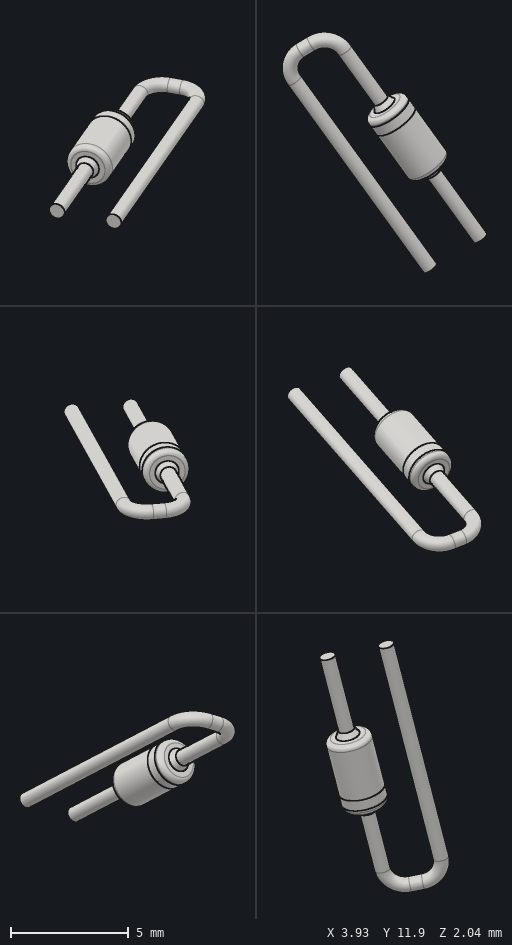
import cadquery as cq


LEAD_DIAMETER = 0.71
LEAD_PITCH = 2.55
BEND_RADIUS = 1.0
TOTAL_LENGTH = 11.85

BODY_DIAMETER = 2.04
BODY_LENGTH = 3.48
BODY_START = 3.9
EDGE_RADIUS = 0.25
CONE_BASE_DIAMETER = 1.03
CONE_LENGTH = 0.28

BAND_WIDTH = 0.5
BAND_OFFSET = 0.33
BAND_THICKNESS = 0.06

LEAD_RADIUS = LEAD_DIAMETER / 2
BODY_RADIUS = BODY_DIAMETER / 2
BODY_END = BODY_START + BODY_LENGTH
FRONT_CONE_TIP = BODY_START - CONE_LENGTH
REAR_CONE_TIP = BODY_END + CONE_LENGTH
BAND_START = BODY_END - BAND_OFFSET - BAND_WIDTH


def cylinder_along_y(radius, start, length):
    """Solid cylinder on the body axis, running from start toward +Y."""
    return cq.Workplane("XZ", origin=(0, start, 0)).circle(radius).extrude(-length)


def make_band():
    """Ring whose outer face is flush with the housing."""
    outer = cylinder_along_y(BODY_RADIUS, BAND_START, BAND_WIDTH)
    inner = cylinder_along_y(BODY_RADIUS - BAND_THICKNESS, BAND_START, BAND_WIDTH)
    return outer.cut(inner)


def make_housing(band):
    """Rounded cylinder with a cone at each end and a groove for the band."""
    barrel = cylinder_along_y(BODY_RADIUS, BODY_START, BODY_LENGTH).edges().fillet(EDGE_RADIUS)
    cone_base_radius = CONE_BASE_DIAMETER / 2
    core = (
        cq.Workplane("XY")
        .moveTo(0, FRONT_CONE_TIP)
        .lineTo(LEAD_RADIUS, FRONT_CONE_TIP)
        .lineTo(cone_base_radius, BODY_START)
        .lineTo(cone_base_radius, BODY_END)
        .lineTo(LEAD_RADIUS, REAR_CONE_TIP)
        .lineTo(0, REAR_CONE_TIP)
        .close()
        .revolve(360, (0, 0, 0), (0, 1, 0))
    )
    return barrel.union(core).cut(band)


def make_straight_lead():
    """Wire from the free end to the front cone."""
    return cylinder_along_y(LEAD_RADIUS, 0, FRONT_CONE_TIP)


def make_bent_lead():
    """Wire from the rear cone, turned through two right-angle bends and back to Y = 0."""
    top = TOTAL_LENGTH - LEAD_RADIUS
    bend_start = top - BEND_RADIUS
    path = (
        cq.Workplane("XY")
        .moveTo(0, REAR_CONE_TIP)
        .lineTo(0, bend_start)
        .radiusArc((BEND_RADIUS, top), BEND_RADIUS)
        .lineTo(LEAD_PITCH - BEND_RADIUS, top)
        .radiusArc((LEAD_PITCH, bend_start), BEND_RADIUS)
        .lineTo(LEAD_PITCH, 0)
    )
    return cq.Workplane("XZ", origin=(0, REAR_CONE_TIP, 0)).circle(LEAD_RADIUS).sweep(path)


band = make_band()
housing = make_housing(band)
straight_lead = make_straight_lead()
bent_lead = make_bent_lead()

result = cq.Compound.makeCompound(
    [housing.solids().val(), band.solids().val(), straight_lead.val(), bent_lead.val()]
)